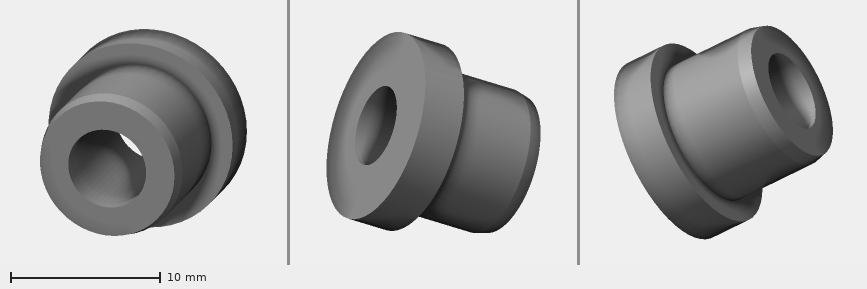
import cadquery as cq
import math

flange_diameter = 13.0
flange_thickness = 3.0
body_diameter = 10.0
total_length = 10.0
bore_diameter = 5.5

taper_drop = 0.25
taper_angle = 15.0
taper_length = taper_drop / math.tan(math.radians(taper_angle))

flange_radius = flange_diameter / 2
body_radius = body_diameter / 2
bore_radius = bore_diameter / 2
tip_radius = body_radius - taper_drop
flange_face_y = total_length - flange_thickness


def bushing():
    """Revolve the half section (radius along X) around the Y axis."""
    half_section = (
        cq.Workplane("XY")
        .moveTo(bore_radius, 0)
        .lineTo(tip_radius, 0)
        .lineTo(body_radius, taper_length)
        .lineTo(body_radius, flange_face_y)
        .lineTo(flange_radius, flange_face_y)
        .lineTo(flange_radius, total_length)
        .lineTo(bore_radius, total_length)
        .close()
    )
    return half_section.revolve(360, (0, 0, 0), (0, 1, 0))


result = bushing()